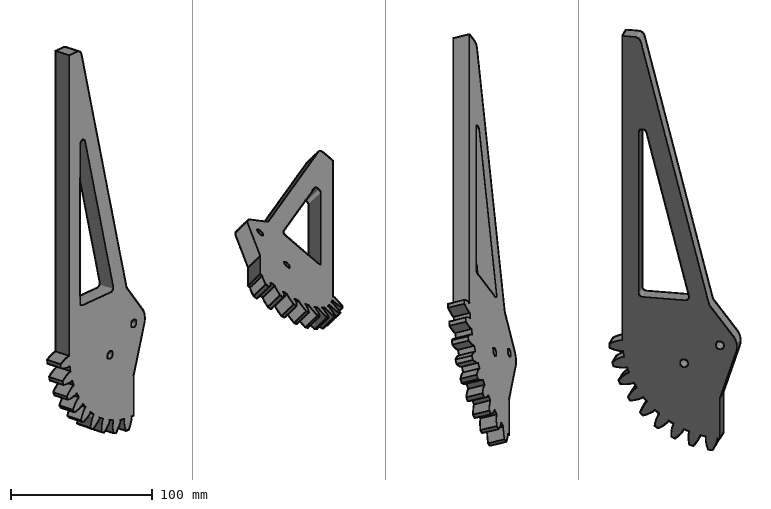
import cadquery as cq
import math

thickness = 12.7
overall_height = 308.8

teeth_per_turn = 36
sector_teeth = 9
tip_radius = 80.3
gear_module = 2 * tip_radius / (teeth_per_turn + 2)
pressure_angle = math.radians(20)
pitch_radius = gear_module * teeth_per_turn / 2
dedendum_factor = 1.25
root_radius = pitch_radius - dedendum_factor * gear_module
base_radius = pitch_radius * math.cos(pressure_angle)
tooth_pitch = 2 * math.pi / teeth_per_turn
sector_angle = sector_teeth * tooth_pitch
flank_steps = 4


def involute(angle):
    return math.tan(angle) - angle


def tooth_half_angle(radius):
    """Half the angle a tooth spans at a radius; constant below the base circle."""
    local_pressure = math.acos(min(1.0, base_radius / radius))
    return tooth_pitch / 4 + involute(pressure_angle) - involute(local_pressure)


back_y = -root_radius
lowest_tooth_angle = tooth_pitch / 2 - tooth_half_angle(tip_radius)
top_z = overall_height - tip_radius * math.cos(lowest_tooth_angle)
arm_foot_y = -7.7
arm_foot_z = 30.0
arm_top_y = -58.0
arm_slope = (arm_foot_y - arm_top_y) / (top_z - arm_foot_z)
arm_fillet = 5.0

boss_radius = 12.5
flank_corner_z = -39.8

back_wall = 12.0
sloping_wall = 13.0
window_bottom_z = 32.0
window_fillet = 2.8

hole_diameter = 6.0
second_hole_y = -26.0
second_hole_z = -15.8


def polar(radius, angle):
    """Point at an angle measured from -Y towards -Z."""
    return (-radius * math.cos(angle), -radius * math.sin(angle))


def tangent_point(corner, side):
    """Where a line from the corner touches the boss; side is +1 or -1."""
    distance = math.hypot(*corner)
    angle = math.atan2(corner[1], corner[0]) + side * math.acos(boss_radius / distance)
    return (boss_radius * math.cos(angle), boss_radius * math.sin(angle))


def add_tooth(outline, centre):
    """Draw one tooth from its root point on the back side to the one beyond."""
    radii = [
        base_radius + (tip_radius - base_radius) * step / flank_steps
        for step in range(flank_steps + 1)
    ]
    near = [polar(r, centre - tooth_half_angle(r)) for r in radii]
    far = [polar(r, centre + tooth_half_angle(r)) for r in reversed(radii)]
    outline = outline.lineTo(*near[0]).spline(near[1:], includeCurrent=True)
    outline = outline.threePointArc(polar(tip_radius, centre), far[0])
    outline = outline.spline(far[1:], includeCurrent=True)
    return outline.lineTo(*polar(root_radius, centre + tooth_half_angle(root_radius)))


def add_root_arc(outline, start, end):
    """Follow the root circle to the end angle."""
    return outline.threePointArc(polar(root_radius, (start + end) / 2), polar(root_radius, end))


def plate():
    root_half_angle = tooth_half_angle(root_radius)
    outline = cq.Workplane("YZ").moveTo(arm_top_y, top_z).lineTo(back_y, top_z)
    outline = outline.lineTo(back_y, 0)
    outline = add_root_arc(outline, 0, tooth_pitch / 2 - root_half_angle)
    for index in range(sector_teeth):
        centre = (index + 0.5) * tooth_pitch
        outline = add_tooth(outline, centre)
        gap_start = centre + root_half_angle
        gap_end = min(centre + tooth_pitch - root_half_angle, sector_angle)
        outline = add_root_arc(outline, gap_start, gap_end)
    lower_tangent = tangent_point((0, flank_corner_z), 1)
    upper_tangent = tangent_point((arm_foot_y, arm_foot_z), -1)
    outline = outline.lineTo(0, flank_corner_z)
    outline = outline.lineTo(*lower_tangent)
    outline = outline.threePointArc((boss_radius, 0), upper_tangent)
    outline = outline.lineTo(arm_foot_y, arm_foot_z).close()
    body = outline.extrude(thickness)
    for y, z in [(arm_top_y, top_z), (arm_foot_y, arm_foot_z)]:
        corner = cq.selectors.NearestToPointSelector((thickness / 2, y, z))
        body = body.edges("|X").edges(corner).fillet(arm_fillet)
    return body


def window():
    back = back_y + back_wall
    wall_along_y = sloping_wall * math.hypot(1, arm_slope)
    front = arm_foot_y - arm_slope * (window_bottom_z - arm_foot_z) - wall_along_y
    apex_z = window_bottom_z + (front - back) / arm_slope
    corners = [(back, window_bottom_z), (front, window_bottom_z), (back, apex_z)]
    triangle = cq.Workplane("YZ").polyline(corners).close().extrude(thickness)
    return triangle.edges("|X").fillet(window_fillet)


def holes():
    centres = [(0, 0), (second_hole_y, second_hole_z)]
    return cq.Workplane("YZ").pushPoints(centres).circle(hole_diameter / 2).extrude(thickness)


result = plate().cut(window()).cut(holes())